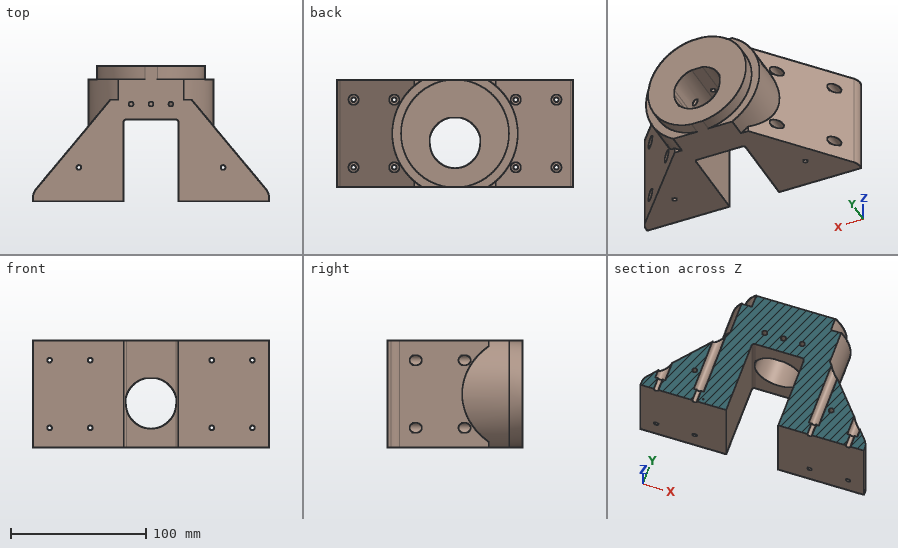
import cadquery as cq

WIDTH = 175.0
HEIGHT = 79.5
DEPTH = 100.3

BLOCK_DEPTH = 75.0
BLOCK_BACK_WIDTH = 60.2
SIDE_FLAT = 6.1
SIDE_ROUNDING = 10.0

SLOT_WIDTH = 40.5
SLOT_DEPTH = 60.4
SLOT_CORNER_RADIUS = 1.8

DRUM_DIAMETER = 93.0
DRUM_START = 54.2
SPIGOT_DIAMETER = 80.0
SPIGOT_LENGTH = 10.0
DRUM_END = DEPTH - SPIGOT_LENGTH

BORE_DIAMETER = 37.1
BORE_RELIEF_DIAMETER = 38.2
BORE_Z = -7.0

SCREW_DIAMETER = 3.3
SCREW_HEAD_DIAMETER = 7.5
SCREW_HEAD_SEAT = 10.0
SCREW_INNER_X = 45.0
SCREW_OUTER_X = 75.0
SCREW_Z = 25.0

EAR_HOLE_DIAMETER = 3.3
EAR_HOLE_X = 53.4
EAR_HOLE_Y = 25.0
SET_SCREW_DIAMETER = 3.5
SET_SCREW_SPACING = 14.7
SET_SCREW_Y = 72.0


def rod_along_y(diameter, start, end, x=0.0, z=0.0):
    """Cylinder parallel to Y between two Y positions."""
    axis = cq.Vector(0, 1, 0)
    return cq.Workplane(cq.Solid.makeCylinder(diameter / 2, end - start, cq.Vector(x, start, z), axis))


def rod_along_z(diameter, x, y, bottom, top):
    """Cylinder parallel to Z between two heights."""
    return cq.Workplane(cq.Solid.makeCylinder(diameter / 2, top - bottom, cq.Vector(x, y, bottom)))


def make_block():
    """Trapezoid with rounded outer corners."""
    outline = [
        (-WIDTH / 2, 0),
        (WIDTH / 2, 0),
        (WIDTH / 2, SIDE_FLAT),
        (BLOCK_BACK_WIDTH / 2, BLOCK_DEPTH),
        (-BLOCK_BACK_WIDTH / 2, BLOCK_DEPTH),
        (-WIDTH / 2, SIDE_FLAT),
    ]
    block = cq.Workplane("XY").polyline(outline).close().extrude(HEIGHT / 2, both=True)
    for side in ("<X", ">X"):
        block = block.faces(side).edges("|Z").edges(">Y").fillet(SIDE_ROUNDING)
    return block


def make_drum():
    """Stepped drum with flats level with the block's top and bottom."""
    drum = rod_along_y(DRUM_DIAMETER, DRUM_START, DRUM_END)
    drum = drum.union(rod_along_y(SPIGOT_DIAMETER, DRUM_START, DEPTH))
    return drum.intersect(cq.Workplane("XY").box(WIDTH, 2 * DEPTH, HEIGHT))


def make_slot():
    """Slot open at the front, with rounded inner corners."""
    slot = cq.Workplane("XY").box(SLOT_WIDTH, SLOT_DEPTH, HEIGHT, centered=(True, False, True))
    return slot.faces(">Y").edges("|Z").fillet(SLOT_CORNER_RADIUS)


def make_bore():
    """Round bore whose upper half is slightly larger, with a flat crown and flat sides."""
    relief_limit = (
        cq.Workplane("XY")
        .box(BORE_DIAMETER, DEPTH, BORE_DIAMETER / 2, centered=(True, False, False))
        .translate((0, 0, BORE_Z))
    )
    relief = rod_along_y(BORE_RELIEF_DIAMETER, 0, DEPTH, z=BORE_Z).intersect(relief_limit)
    return rod_along_y(BORE_DIAMETER, 0, DEPTH, z=BORE_Z).union(relief)


result = make_block().union(make_drum()).cut(make_slot())
result = result.cut(make_bore())

for side in (-1, 1):
    for distance in (SCREW_INNER_X, SCREW_OUTER_X):
        for z in (-SCREW_Z, SCREW_Z):
            x = side * distance
            result = result.cut(rod_along_y(SCREW_DIAMETER, 0, SCREW_HEAD_SEAT, x, z))
            result = result.cut(rod_along_y(SCREW_HEAD_DIAMETER, SCREW_HEAD_SEAT, BLOCK_DEPTH, x, z))

for side in (-1, 1):
    result = result.cut(
        rod_along_z(EAR_HOLE_DIAMETER, side * EAR_HOLE_X, EAR_HOLE_Y, -HEIGHT / 2, HEIGHT / 2)
    )

for x in (-SET_SCREW_SPACING, 0, SET_SCREW_SPACING):
    result = result.cut(rod_along_z(SET_SCREW_DIAMETER, x, SET_SCREW_Y, BORE_Z, HEIGHT / 2))